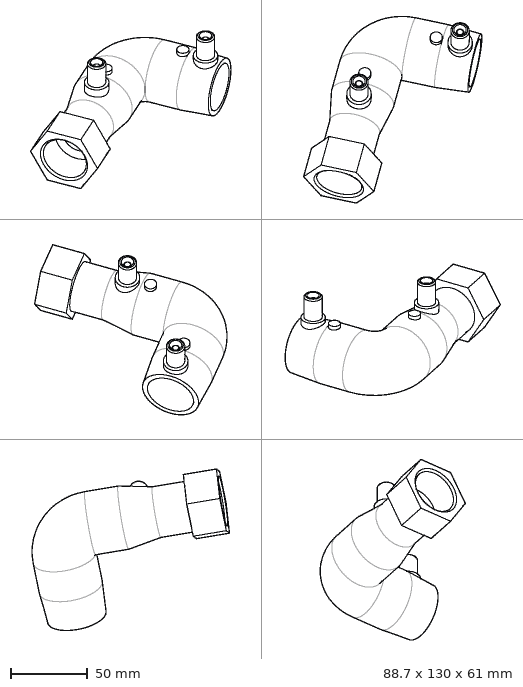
import cadquery as cq
import math


pipe_diameter = 42.0
pipe_radius = pipe_diameter / 2
bend_radius = pipe_radius
section_length = 22.0
neck_diameter = 33.7
outlet_end_diameter = 39.0

nut_across_flats = 41.0
nut_across_corners = nut_across_flats / math.cos(math.pi / 6)

flow_bore_diameter = 32.0
throat_diameter = 21.0
thread_bore_diameter = 30.3
thread_mouth_diameter = 33.25
thread_mouth_chamfer = (thread_mouth_diameter - thread_bore_diameter) / 2
thread_bore_length = section_length
drill_point_angle = math.radians(120)
drill_point_length = (thread_bore_diameter - throat_diameter) / 2 / math.tan(drill_point_angle / 2)

terminal_top = 40.0
terminal_diameter = 12.0
terminal_chamfer = 1.0
collar_diameter = 16.0
collar_top = 23.8
collar_slope_drop = 0.4
socket_diameter = 8.0
socket_depth = 10.0
pin_diameter = 5.0
pin_chamfer = 0.5
pin_recess = 2.8

indicator_diameter = 8.0
indicator_top = 23.5

inlet_terminal_distance = 32.0
outlet_terminal_distance = 34.0
indicator_spacing = 16.0

taper_start = bend_radius + section_length
taper_end = taper_start + section_length
neck_end = taper_end + section_length
nut_end = neck_end + section_length


def inlet_plane(distance):
    """Plane across the inlet arm, facing along -Y."""
    return cq.Workplane("XZ", origin=(0, -distance, 0))


def outlet_plane(distance):
    """Plane across the outlet arm, facing along +X."""
    return cq.Workplane("YZ", origin=(distance, 0, 0))


def cylinder(plane, diameter, length):
    return plane.circle(diameter / 2).extrude(length)


def cone(plane, start_diameter, end_diameter, length):
    return plane.circle(start_diameter / 2).workplane(offset=length).circle(end_diameter / 2).loft()


def bend(diameter):
    """Quarter-turn elbow joining the two arms."""
    return inlet_plane(bend_radius).circle(diameter / 2).revolve(90, (bend_radius, 1, 0), (bend_radius, 0, 0))


def make_body():
    inlet_straight = cylinder(inlet_plane(bend_radius), pipe_diameter, section_length)
    inlet_taper = cone(inlet_plane(taper_start), pipe_diameter, neck_diameter, section_length)
    neck = cylinder(inlet_plane(taper_end), neck_diameter, section_length)
    nut = inlet_plane(neck_end).polygon(6, nut_across_corners).extrude(section_length)
    outlet_straight = cylinder(outlet_plane(bend_radius), pipe_diameter, section_length)
    outlet_taper = cone(outlet_plane(taper_start), pipe_diameter, outlet_end_diameter, section_length)
    inlet = inlet_straight.union(inlet_taper).union(neck).union(nut)
    outlet = outlet_straight.union(outlet_taper)
    return bend(pipe_diameter).union(inlet).union(outlet)


def make_bore():
    """Flow passage: threaded mouth, drill point, throat, then the wide bore round the bend and out."""
    thread_end = nut_end - thread_bore_length
    throat_end = thread_end - drill_point_length
    mouth = cone(
        inlet_plane(nut_end - thread_mouth_chamfer),
        thread_bore_diameter,
        thread_mouth_diameter,
        thread_mouth_chamfer,
    )
    thread = cylinder(inlet_plane(thread_end), thread_bore_diameter, thread_bore_length)
    drill_point = cone(inlet_plane(throat_end), throat_diameter, thread_bore_diameter, drill_point_length)
    throat = cylinder(inlet_plane(bend_radius), throat_diameter, throat_end - bend_radius)
    outlet_bore = cylinder(outlet_plane(bend_radius), flow_bore_diameter, taper_end - bend_radius)
    inlet_passage = mouth.union(thread).union(drill_point).union(throat)
    return inlet_passage.union(bend(flow_bore_diameter)).union(outlet_bore)


def vertical_post(x, y, diameter, top):
    """Post rising from the pipe axis height to the given top."""
    return cq.Workplane("XY", origin=(x, y, 0)).circle(diameter / 2).extrude(top)


def make_terminal(x, y):
    collar_rim_height = collar_top - collar_slope_drop
    collar = vertical_post(x, y, collar_diameter, collar_rim_height)
    collar_slope = cone(
        cq.Workplane("XY", origin=(x, y, collar_rim_height)),
        collar_diameter,
        terminal_diameter,
        collar_slope_drop,
    )
    sleeve = vertical_post(x, y, terminal_diameter, terminal_top).faces(">Z").chamfer(terminal_chamfer)
    socket = (
        cq.Workplane("XY", origin=(x, y, terminal_top - socket_depth))
        .circle(socket_diameter / 2)
        .extrude(socket_depth)
    )
    pin = vertical_post(x, y, pin_diameter, terminal_top - pin_recess).faces(">Z").chamfer(pin_chamfer)
    return collar.union(collar_slope).union(sleeve).cut(socket).union(pin)


def make_indicator(x, y):
    return vertical_post(x, y, indicator_diameter, indicator_top)


inlet_terminal_y = -(bend_radius + inlet_terminal_distance)
outlet_terminal_x = bend_radius + outlet_terminal_distance

body = make_body()
body = body.union(make_terminal(0, inlet_terminal_y))
body = body.union(make_indicator(0, inlet_terminal_y + indicator_spacing))
body = body.union(make_terminal(outlet_terminal_x, 0))
body = body.union(make_indicator(outlet_terminal_x - indicator_spacing, 0))

result = body.cut(make_bore())